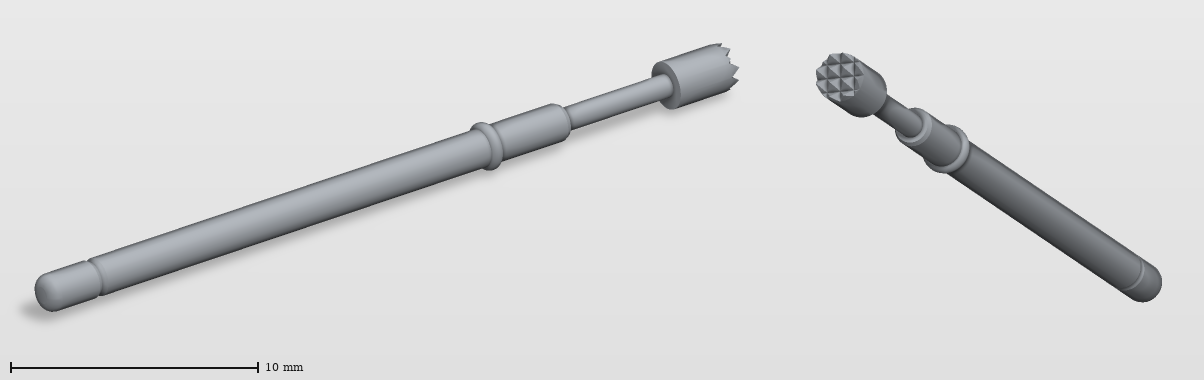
import cadquery as cq

length = 34.3
rear_y = -length / 2
tip_y = length / 2

barrel_radius = 0.805
barrel_length = 26.0
rear_round = 0.45
mouth_chamfer_length = 0.2
mouth_chamfer_depth = 0.1

collar_radius = 1.012
collar_width = 0.55
collar_front = 22.5

crimp_centre = 2.55
crimp_width = 0.4
crimp_depth = 0.1

plunger_radius = 0.497
head_radius = 1.012
head_length = 3.02
crown_taper_length = 0.45
crown_taper_depth = 0.07

tooth_pitch = 0.6
tooth_depth = 0.48
groove_offsets = (-tooth_pitch, 0.0, tooth_pitch)


def turn(profile):
    """Revolve a closed XY profile fully around the Y axis."""
    return profile.revolve(360, (0, 0, 0), (0, 1, 0))


def make_barrel():
    mouth_y = rear_y + barrel_length
    collar_front_y = rear_y + collar_front
    collar_rear_y = collar_front_y - collar_width
    collar_crest = (collar_radius, collar_front_y - collar_width / 2)

    crimp_half_width = crimp_width / 2
    crimp_y = rear_y + crimp_centre
    crimp_bottom = (barrel_radius - crimp_depth, crimp_y)

    profile = (
        cq.Workplane("XY")
        .moveTo(0, rear_y)
        .lineTo(barrel_radius, rear_y)
        .lineTo(barrel_radius, crimp_y - crimp_half_width)
        .lineTo(*crimp_bottom)
        .lineTo(barrel_radius, crimp_y + crimp_half_width)
        .lineTo(barrel_radius, collar_rear_y)
        .threePointArc(collar_crest, (barrel_radius, collar_front_y))
        .lineTo(barrel_radius, mouth_y - mouth_chamfer_length)
        .lineTo(barrel_radius - mouth_chamfer_depth, mouth_y)
        .lineTo(0, mouth_y)
        .close()
    )
    return turn(profile).faces("<Y").edges().fillet(rear_round)


def make_plunger():
    """Plain rod between the barrel mouth and the back of the head."""
    plane = cq.Workplane("XZ", origin=(0, rear_y + barrel_length, 0))
    plunger_length = length - head_length - barrel_length
    return plane.circle(plunger_radius).extrude(-plunger_length)


def make_crown_groove(offset):
    """V groove across the crown, running along Z at an X offset."""
    half_width = tooth_pitch / 2
    profile = cq.Workplane("XY").polyline([
        (offset - half_width, tip_y),
        (offset, tip_y - tooth_depth),
        (offset + half_width, tip_y),
    ]).close()
    return profile.extrude(head_radius, both=True)


def make_head():
    """Cylinder with a slightly tapered tip, cut by two crossed sets of V grooves."""
    back_y = tip_y - head_length
    profile = cq.Workplane("XY").polyline([
        (0, back_y),
        (head_radius, back_y),
        (head_radius, tip_y - crown_taper_length),
        (head_radius - crown_taper_depth, tip_y),
        (0, tip_y),
    ]).close()
    head = turn(profile)
    for offset in groove_offsets:
        groove = make_crown_groove(offset)
        head = head.cut(groove)
        head = head.cut(groove.rotate((0, 0, 0), (0, 1, 0), 90))
    return head


result = make_barrel().union(make_plunger()).union(make_head())